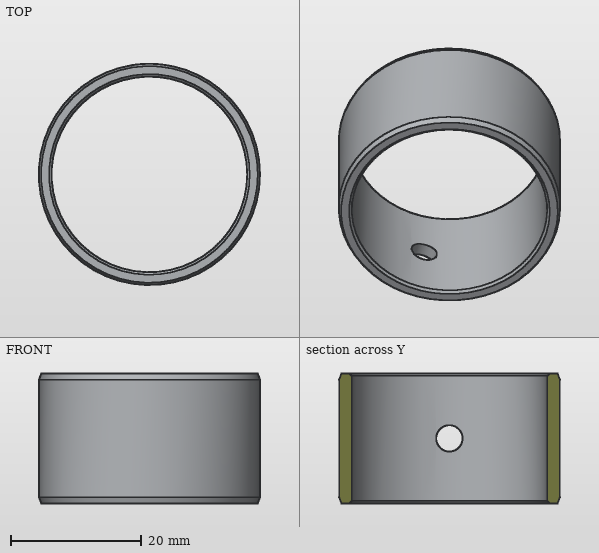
import cadquery as cq

outer_diameter = 34.0
bore_diameter = 30.0
height = 20.0
outer_chamfer_height = 1.0
outer_chamfer_inset = 0.37
bore_chamfer = 0.4
hole_diameter = 4.0

outer_radius = outer_diameter / 2
bore_radius = bore_diameter / 2


def chamfered_ring():
    """Revolve the wall section, chamfered at all four corners, about Z."""
    half_height = height / 2
    outer_shoulder = half_height - outer_chamfer_height
    bore_shoulder = half_height - bore_chamfer
    outer_rim = outer_radius - outer_chamfer_inset
    bore_rim = bore_radius + bore_chamfer
    section = [
        (bore_radius, -bore_shoulder),
        (bore_rim, -half_height),
        (outer_rim, -half_height),
        (outer_radius, -outer_shoulder),
        (outer_radius, outer_shoulder),
        (outer_rim, half_height),
        (bore_rim, half_height),
        (bore_radius, bore_shoulder),
    ]
    return cq.Workplane("XZ").polyline(section).close().revolve(360, (0, 0), (0, 1))


def radial_hole():
    """Cylinder from the axis out through the +Y wall at mid height."""
    return cq.Workplane("XZ").circle(hole_diameter / 2).extrude(-outer_diameter)


result = chamfered_ring().cut(radial_hole())